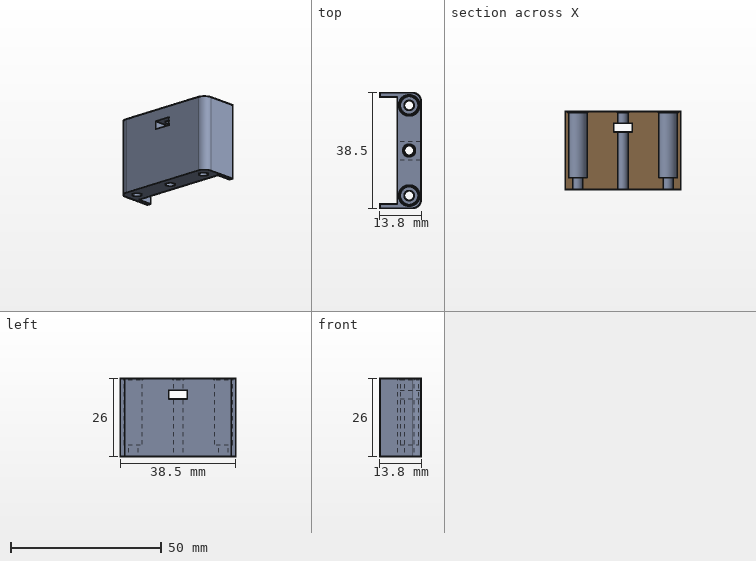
import cadquery as cq

depth = 13.75
width = 38.5
height = 26.0

block_thickness = 8.0
wall_thickness = 1.5
corner_radius = 3.0

hole_diameter = 3.2
hole_edge_chamfer = 0.5
outer_hole_spacing = 30.0
counterbore_diameter = 6.0
counterbore_floor = 4.0

slot_width = 6.0
slot_height = 2.8
slot_top_gap = 4.0

block_front = depth - block_thickness
hole_x = block_front + block_thickness / 2
counterbore_depth = height - counterbore_floor
slot_z = height - slot_top_gap - slot_height / 2


def make_body():
    """U-shaped body with rounded vertical back corners."""
    body = cq.Workplane("XY").box(depth, width, height, centered=(False, True, False))
    body = body.edges("|Z and >X").fillet(corner_radius)
    recess = cq.Workplane("XY").box(
        block_front, width - 2 * wall_thickness, height, centered=(False, True, False)
    )
    return body.cut(recess)


def bore_from_top(y, diameter, bore_depth):
    """Vertical cylinder reaching down from the top face."""
    return cq.Workplane("XY", origin=(hole_x, y, height)).circle(diameter / 2).extrude(-bore_depth)


def edge_chamfer(y, diameter):
    """Cone that chamfers the top rim of a bore."""
    rim_radius = diameter / 2 + hole_edge_chamfer
    cone = cq.Solid.makeCone(
        rim_radius,
        diameter / 2,
        hole_edge_chamfer,
        pnt=cq.Vector(hole_x, y, height),
        dir=cq.Vector(0, 0, -1),
    )
    return cq.Workplane(obj=cone)


def cut_center_hole(body):
    """Plain through hole with a chamfered rim."""
    return body.cut(bore_from_top(0, hole_diameter, height)).cut(edge_chamfer(0, hole_diameter))


def cut_outer_hole(body, y):
    """Through hole with a deep, chamfered counterbore."""
    body = body.cut(bore_from_top(y, hole_diameter, height))
    body = body.cut(bore_from_top(y, counterbore_diameter, counterbore_depth))
    return body.cut(edge_chamfer(y, counterbore_diameter))


def cut_slot(body):
    """Rectangular slot through the block along X."""
    slot = cq.Workplane("XY", origin=(block_front, 0, slot_z)).box(
        block_thickness, slot_width, slot_height, centered=(False, True, True)
    )
    return body.cut(slot)


result = make_body()
result = cut_center_hole(result)
for side in (-1, 1):
    result = cut_outer_hole(result, side * outer_hole_spacing / 2)
result = cut_slot(result)